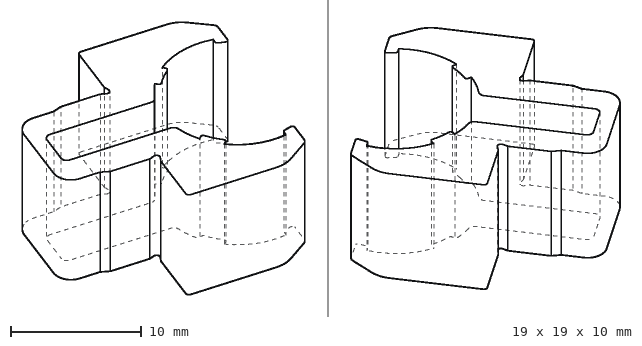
import cadquery as cq
import math

depth = 10.0
body_width = 19.0
total_height = 19.0

bore_radius = 6.4
jaw_tip_y = 2.03
lip_thickness = 1.0
lip_gap_half = 5.82
lip_slope = 15.0
lip_round = 0.2

jaw_slope = 35.0
jaw_slope_drop = 2.57
jaw_tip_round = 0.5
jaw_side_round = 2.6

stem_half_width = 4.3
foot_half_width = 4.03
shoulder_height = 8.0
step_top_height = 4.0
step_bottom_height = 3.25
foot_round = 1.5
shoulder_round = 0.28

relief_leg = 0.62
relief_radius = 0.28
relief_offset = 0.1

slot_half_width = 1.7
slot_floor = 1.3
slot_round = 0.5
slot_mouth_round = 0.5

pad_width = 2.0
pad_inner_radius = 5.9
pad_round = 0.2
pad_root_depth = 0.5
left_pad_angle = 180 + 47.0
right_pad_angle = 360 - 44.2

foot_y = jaw_tip_y - total_height
shoulder_y = foot_y + shoulder_height
step_top_y = foot_y + step_top_height
step_bottom_y = foot_y + step_bottom_height
slot_floor_y = foot_y + slot_floor
side_x = body_width / 2
slope_y = jaw_tip_y - jaw_slope_drop
tip_x = side_x - jaw_slope_drop * math.tan(math.radians(jaw_slope))
lip_bottom_y = jaw_tip_y - lip_thickness
lip_tip_x = lip_gap_half - lip_thickness * math.tan(math.radians(lip_slope))
slot_mouth_y = -math.sqrt(bore_radius**2 - slot_half_width**2)


def round_edges(solid, radius, x, y):
    """Fillet the Z edge nearest (x, y) and its mirror image across X = 0."""
    edges = []
    for side in (-1, 1):
        nearest = cq.selectors.NearestToPointSelector((side * x, y, depth / 2))
        edges.append(solid.edges("|Z").edges(nearest).val())
    return solid.newObject([solid.val().fillet(radius, edges)])


def make_body():
    """Jaws and stem, solid up to the lips, with the outer corners rounded."""
    body = (
        cq.Workplane("XY")
        .moveTo(0, foot_y)
        .lineTo(foot_half_width, foot_y)
        .lineTo(foot_half_width, step_bottom_y)
        .lineTo(stem_half_width, step_top_y)
        .lineTo(stem_half_width, shoulder_y)
        .lineTo(side_x, shoulder_y)
        .lineTo(side_x, slope_y)
        .lineTo(tip_x, jaw_tip_y)
        .lineTo(lip_tip_x, jaw_tip_y)
        .lineTo(lip_gap_half, lip_bottom_y)
        .lineTo(0, lip_bottom_y)
        .mirrorY()
        .extrude(depth)
    )
    body = round_edges(body, foot_round, foot_half_width, foot_y)
    body = round_edges(body, shoulder_round, side_x, shoulder_y)
    body = round_edges(body, jaw_side_round, side_x, slope_y)
    body = round_edges(body, jaw_tip_round, tip_x, jaw_tip_y)
    return round_edges(body, lip_round, lip_tip_x, jaw_tip_y)


def cut_bore_and_slot(body):
    """Bore below the lips and the slot running down from it, with their corners rounded."""
    below_lips = (
        cq.Workplane("XY")
        .center(0, (lip_bottom_y - bore_radius) / 2)
        .rect(body_width, lip_bottom_y + bore_radius)
        .extrude(depth)
    )
    bore = cq.Workplane("XY").circle(bore_radius).extrude(depth).intersect(below_lips)
    slot = (
        cq.Workplane("XY")
        .center(0, slot_floor_y / 2)
        .rect(2 * slot_half_width, -slot_floor_y)
        .extrude(depth)
    )
    body = body.cut(bore).cut(slot)
    body = round_edges(body, slot_round, slot_half_width, slot_floor_y)
    body = round_edges(body, lip_round, lip_gap_half, lip_bottom_y)
    return round_edges(body, slot_mouth_round, slot_half_width, slot_mouth_y)


def make_relief(side):
    """Teardrop groove: an arc joined by tangent lines to the shoulder and the stem."""
    gap_x = relief_leg - relief_offset
    gap_y = relief_offset
    reach = math.hypot(gap_x, gap_y)
    lean = math.asin(relief_radius / reach) - math.atan2(gap_y, gap_x)
    touch_x = relief_offset + relief_radius * math.sin(lean)
    touch_y = -relief_offset + relief_radius * math.cos(lean)
    deepest = relief_radius / math.sqrt(2) - relief_offset

    def place(x, y):
        return (side * (stem_half_width + x), shoulder_y + y)

    return (
        cq.Workplane("XY")
        .moveTo(*place(relief_leg, 0))
        .lineTo(*place(touch_x, touch_y))
        .threePointArc(place(-deepest, deepest), place(-touch_y, -touch_x))
        .lineTo(*place(0, -relief_leg))
        .lineTo(*place(relief_leg, -relief_leg))
        .close()
        .extrude(depth)
    )


def make_pad(angle):
    """Parallel-sided pad rooted in the bore wall, its face concentric with the bore."""
    root_radius = bore_radius + pad_root_depth
    pad = (
        cq.Workplane("XY")
        .center(root_radius / 2, 0)
        .rect(root_radius, pad_width)
        .extrude(depth)
        .cut(cq.Workplane("XY").circle(pad_inner_radius).extrude(depth))
    )
    pad = pad.edges("|Z and <X").fillet(pad_round)
    return pad.rotate((0, 0, 0), (0, 0, 1), angle)


result = cut_bore_and_slot(make_body())
for side in (-1, 1):
    result = result.cut(make_relief(side))
for pad_angle in (left_pad_angle, right_pad_angle):
    result = result.union(make_pad(pad_angle))